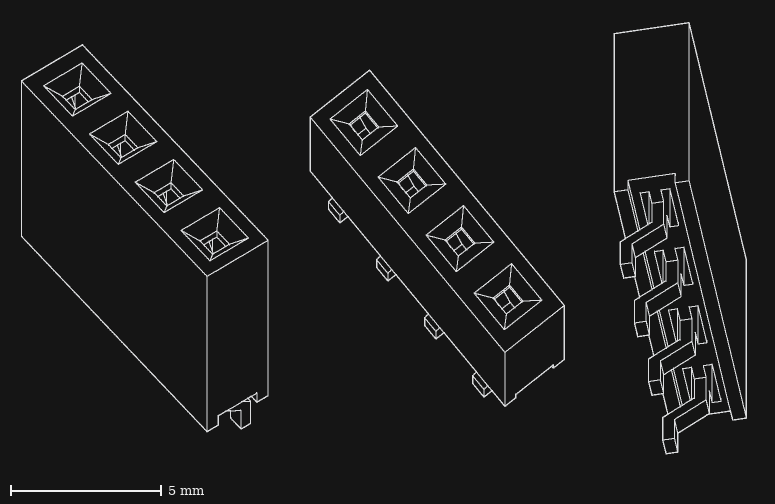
import cadquery as cq
import math

contact_count = 4
pitch = 2.54
housing_length = 10.3
housing_width = 2.54
housing_height = 8.4
row_shift = 0.07

channel_width = 1.6
channel_depth = 0.5

funnel_opening = 1.6
funnel_angle = 45
hole_size = 0.7
funnel_depth = (funnel_opening - hole_size) / 2 / math.tan(math.radians(funnel_angle))
hole_depth = 0.33
cavity_length = 1.6
cavity_width = 1.0
cavity_top = housing_height - funnel_depth - hole_depth

strip_thickness = 0.4
throat_width = 0.27
throat_slope = 60
throat_depth = (cavity_length - throat_width) / 2 * math.tan(math.radians(throat_slope))
tail_width = 0.6
tail_length = 2.5
tail_upper_bend = 0.7
tail_lower_bend = 1.5
bend_rise = 0.2

contact_places = [
    (row_shift + (i - (contact_count - 1) / 2) * pitch, 0) for i in range(contact_count)
]


def make_housing():
    """Block with a channel along its underside."""
    block = cq.Workplane("XY").box(
        housing_length, housing_width, housing_height, centered=(True, True, False)
    )
    channel = cq.Workplane("XY").box(
        housing_length, channel_width, channel_depth, centered=(True, True, False)
    )
    return block.cut(channel)


def make_socket():
    """Space cut from the housing for one contact: funnel, hole and cavity."""
    funnel = (
        cq.Workplane("XY", origin=(0, 0, housing_height))
        .rect(funnel_opening, funnel_opening)
        .extrude(-funnel_depth, taper=funnel_angle)
    )
    hole = (
        cq.Workplane("XY", origin=(0, 0, cavity_top))
        .rect(hole_size, hole_size)
        .extrude(hole_depth)
    )
    cavity = cq.Workplane("XY").rect(cavity_length, cavity_width).extrude(cavity_top)
    return cavity.union(hole).union(funnel)


def make_grip():
    """Upper part of a contact: spans the cavity along X, with a V-shaped throat on top."""
    half_length = cavity_length / 2
    half_throat = throat_width / 2
    throat_floor = cavity_top - throat_depth
    outline = [
        (-half_length, channel_depth),
        (half_length, channel_depth),
        (half_length, cavity_top),
        (half_throat, throat_floor),
        (-half_throat, throat_floor),
        (-half_length, cavity_top),
    ]
    return cq.Workplane("XZ").polyline(outline).close().extrude(strip_thickness / 2, both=True)


def make_tail():
    """Strip that steps back to the rear face of the housing on its way down."""
    front = -strip_thickness / 2
    rear = strip_thickness / 2
    foot_rear = housing_width / 2
    foot_front = foot_rear - strip_thickness
    outline = [
        (front, channel_depth),
        (front, -tail_upper_bend),
        (foot_front, -tail_lower_bend),
        (foot_front, -tail_length),
        (foot_rear, -tail_length),
        (foot_rear, bend_rise - tail_lower_bend),
        (rear, bend_rise - tail_upper_bend),
        (rear, channel_depth),
    ]
    return cq.Workplane("YZ").polyline(outline).close().extrude(tail_width / 2, both=True)


socket = make_socket()
contact = make_grip().union(make_tail())
result = make_housing()
for x, y in contact_places:
    result = result.cut(socket.translate((x, y, 0)))
    result = result.union(contact.translate((x, y, 0)))